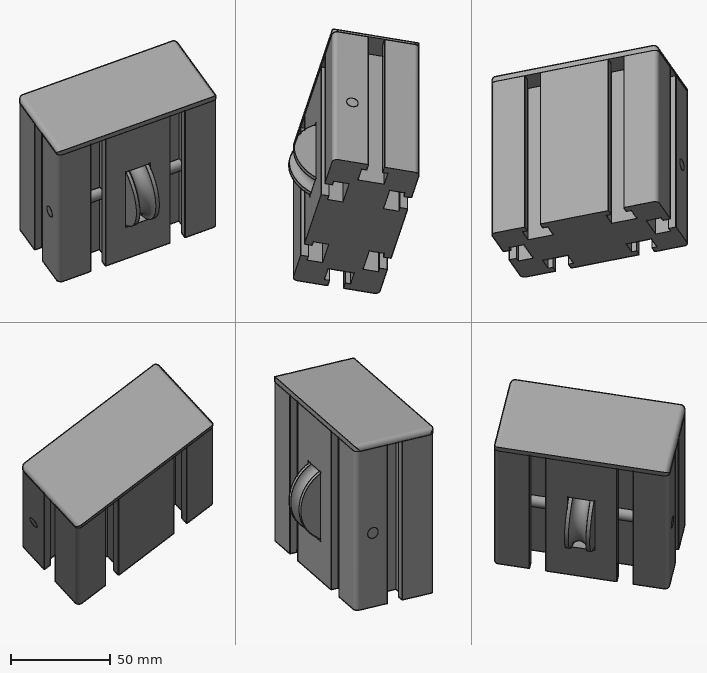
import cadquery as cq

module = 45.0
profile_x = module
profile_y = 2 * module
profile_height = 90.0
corner_radius = 2.5

slot_opening = 8.2
mouth_chamfer = 0.3
slot_lip = 4.0
slot_undercut = 2.7
slot_depth = 12.0
slot_inner_width = slot_opening + 2 * slot_undercut

cap_thickness = 3.0
cap_overhang = 0.2
cap_edge_radius = corner_radius + cap_overhang
cap_y = profile_y + 2 * cap_overhang

pulley_radius = 21.0
pulley_width = 13.0
pulley_projection = 11.0
groove_radius = 4.5
axle_radius = 3.0
axle_x = profile_x + pulley_projection - pulley_radius
axle_z = 42.0

radial_clearance = 1.0
side_clearance = 0.5


def cylinder_along_y(radius, length):
    """Cylinder on the axle line, centred on Y = 0."""
    return (
        cq.Workplane("XZ", origin=(axle_x, 0, axle_z))
        .circle(radius)
        .extrude(length / 2, both=True)
    )


def rounded_block(size_y, bottom, height, edge_radius):
    """Upright block from X = 0 with its four vertical edges rounded."""
    return (
        cq.Workplane("XY", origin=(profile_x / 2, 0, bottom))
        .rect(profile_x, size_y)
        .extrude(height)
        .edges("|Z")
        .fillet(edge_radius)
    )


def slot_box(start_x, width):
    """Full-height box from start_x to the slot floor, centred on Y = 0."""
    return (
        cq.Workplane("XY", origin=(start_x, 0, 0))
        .box(slot_depth - start_x, width, profile_height, centered=(False, True, False))
    )


def make_t_slot(mouth_x, mouth_y, turn):
    """T-slot cutter with a chamfered mouth; it points along +X before being turned about Z."""
    opening = slot_box(0, slot_opening)
    undercut = slot_box(slot_lip, slot_inner_width)
    mouth = (
        cq.Workplane("XY")
        .moveTo(0, -slot_opening / 2 - mouth_chamfer)
        .lineTo(mouth_chamfer, -slot_opening / 2)
        .lineTo(mouth_chamfer, slot_opening / 2)
        .lineTo(0, slot_opening / 2 + mouth_chamfer)
        .close()
        .extrude(profile_height)
    )
    cutter = opening.union(undercut).union(mouth)
    return cutter.rotate((0, 0, 0), (0, 0, 1), turn).translate((mouth_x, mouth_y, 0))


def make_profile():
    profile = rounded_block(profile_y, 0, profile_height, corner_radius)

    profile = profile.cut(make_t_slot(profile_x / 2, -profile_y / 2, 90))
    profile = profile.cut(make_t_slot(profile_x / 2, profile_y / 2, -90))

    for slot_y in (-module / 2, module / 2):
        profile = profile.cut(make_t_slot(0, slot_y, 0))
        profile = profile.cut(make_t_slot(profile_x, slot_y, 180))

    pocket = cylinder_along_y(pulley_radius + radial_clearance, pulley_width + 2 * side_clearance)
    bore = cylinder_along_y(axle_radius, profile_y)
    return profile.cut(pocket).cut(bore)


def make_cap():
    """Cap with rounded upright edges and a round along its two top edges parallel to X."""
    plate = rounded_block(cap_y, profile_height, cap_thickness, cap_edge_radius)
    rounded_top = (
        cq.Workplane("YZ")
        .center(0, profile_height + cap_thickness / 2)
        .rect(cap_y, cap_thickness)
        .extrude(profile_x)
        .edges("|X and >Z")
        .fillet(cap_edge_radius)
    )
    return plate.intersect(rounded_top)


def make_pulley():
    """Pulley with a half-round rope groove, in one piece with its axle."""
    half_width = pulley_width / 2
    groove_bottom = pulley_radius - groove_radius
    wheel = (
        cq.Workplane("XY", origin=(axle_x, 0, axle_z))
        .moveTo(0, -half_width)
        .lineTo(pulley_radius, -half_width)
        .lineTo(pulley_radius, -groove_radius)
        .threePointArc((groove_bottom, 0), (pulley_radius, groove_radius))
        .lineTo(pulley_radius, half_width)
        .lineTo(0, half_width)
        .close()
        .revolve(360, (0, 0, 0), (0, 1, 0))
    )
    return wheel.union(cylinder_along_y(axle_radius, profile_y))


profile = make_profile()
cap = make_cap()
pulley = make_pulley()

result = cq.Compound.makeCompound([profile.val(), cap.val(), pulley.val()])